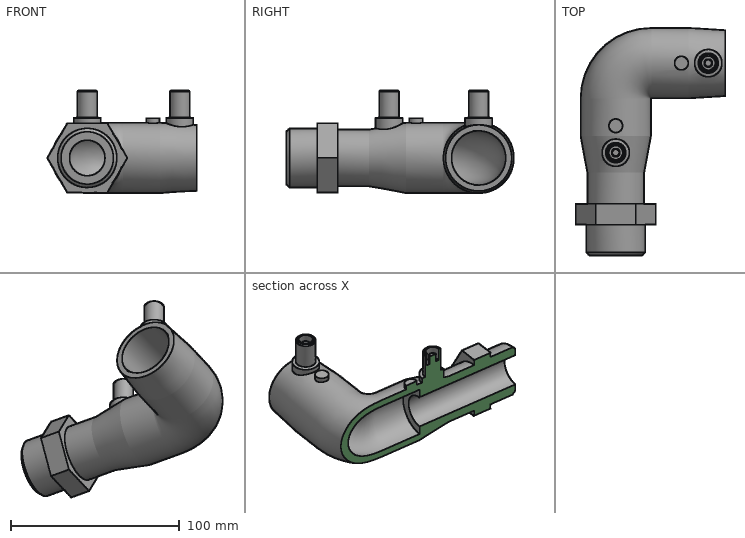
import cadquery as cq
PIPE_R = 20.9
BEND_R = 21.0
PIPE_BORE_R = 16.0
FITTING_BORE_R = 10.5
STRAIGHT_END = 22.0
TAPER_END = 43.9
SPIGOT_R = 19.6

NECK_R = 16.9
HEX_START = 62.4
HEX_END = 74.7
HEX_CORNERS = 47.5
THREAD_R = 17.5
THREAD_CHAMFER = 2.0
FITTING_END = 135 - BEND_R - PIPE_R

POST_BASE = PIPE_BORE_R + 0.1
TERMINAL_TOP = 40.1
COLLAR_TOP = 23.6
COLLAR_RISE = 0.4
COLLAR_R = 8.1
TERMINAL_R = 6.0
TERMINAL_CHAMFER = 0.8
CONTACT_CHAMFER = 0.4
SOCKET_R = 4.2
SOCKET_DEPTH = 8.1
CONTACT_R = 2.4
CONTACT_DROP = 2.7
INDICATOR_R = 4.0
INDICATOR_SPACING = 15.9
TERMINAL_X = 33.8
TERMINAL_Y = -32.0


def bend():
    """Hollow quarter-torus joining the two legs."""
    section = cq.Workplane("XZ").center(-BEND_R, 0).circle(PIPE_R).circle(PIPE_BORE_R)
    return section.revolve(90, (BEND_R, 0, 0), (BEND_R, -1, 0))


def x_leg():
    """Hollow +X leg: straight pipe tapering to its open end."""
    profile = cq.Workplane("XY").polyline([
        (0, BEND_R - PIPE_BORE_R),
        (0, BEND_R - PIPE_R),
        (STRAIGHT_END, BEND_R - PIPE_R),
        (TAPER_END, BEND_R - SPIGOT_R),
        (TAPER_END, BEND_R - PIPE_BORE_R),
    ]).close()
    return profile.revolve(360, (0, BEND_R, 0), (1, BEND_R, 0))


def y_leg():
    """Hollow -Y leg: pipe, reducer, neck and chamfered thread.

    The wide bore steps down to the fitting bore where the reducer begins.
    """
    stations = [
        (PIPE_BORE_R, 0),
        (PIPE_R, 0),
        (PIPE_R, STRAIGHT_END),
        (NECK_R, TAPER_END),
        (NECK_R, HEX_START),
        (THREAD_R, HEX_START),
        (THREAD_R, FITTING_END - THREAD_CHAMFER),
        (THREAD_R - THREAD_CHAMFER, FITTING_END),
        (FITTING_BORE_R, FITTING_END),
        (FITTING_BORE_R, STRAIGHT_END),
        (PIPE_BORE_R, STRAIGHT_END),
    ]
    points = [(radius - BEND_R, -distance) for radius, distance in stations]
    profile = cq.Workplane("XY").polyline(points).close()
    return profile.revolve(360, (-BEND_R, 0, 0), (-BEND_R, 1, 0))


def post(x, y, radius, top):
    """Vertical cylinder rooted inside the pipe wall."""
    base = cq.Workplane("XY", origin=(x, y, POST_BASE))
    return base.circle(radius).extrude(top - POST_BASE)


def collar(x, y):
    """Round collar whose top slopes gently up to the terminal post."""
    profile = cq.Workplane("XZ").polyline([
        (0, POST_BASE),
        (COLLAR_R, POST_BASE),
        (COLLAR_R, COLLAR_TOP),
        (TERMINAL_R, COLLAR_TOP + COLLAR_RISE),
        (0, COLLAR_TOP + COLLAR_RISE),
    ]).close()
    return profile.revolve(360, (0, 0, 0), (0, 1, 0)).translate((x, y, 0))


def terminal(x, y):
    """Collared post with a socket around a central contact."""
    stud = post(x, y, TERMINAL_R, TERMINAL_TOP).faces(">Z").chamfer(TERMINAL_CHAMFER)
    socket_floor = cq.Workplane("XY", origin=(x, y, TERMINAL_TOP - SOCKET_DEPTH))
    socket = socket_floor.circle(SOCKET_R).extrude(SOCKET_DEPTH)
    contact = post(x, y, CONTACT_R, TERMINAL_TOP - CONTACT_DROP)
    contact = contact.faces(">Z").chamfer(CONTACT_CHAMFER)
    return stud.cut(socket).union(contact).union(collar(x, y))


hex_nut = (
    cq.Workplane("XZ", origin=(-BEND_R, -HEX_START, 0))
    .polygon(6, HEX_CORNERS)
    .circle(FITTING_BORE_R)
    .extrude(HEX_END - HEX_START)
)

result = y_leg().union(hex_nut).union(bend()).union(x_leg())

for x, y in [(TERMINAL_X, BEND_R), (-BEND_R, TERMINAL_Y)]:
    result = result.union(terminal(x, y))

for x, y in [
    (TERMINAL_X - INDICATOR_SPACING, BEND_R),
    (-BEND_R, TERMINAL_Y + INDICATOR_SPACING),
]:
    result = result.union(post(x, y, INDICATOR_R, COLLAR_TOP))